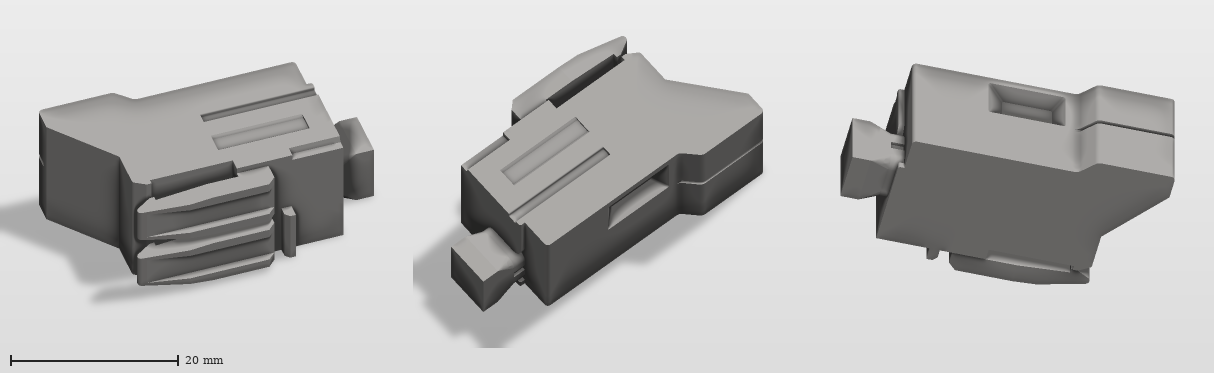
import cadquery as cq

HEIGHT = 15.0
LENGTH = 38.2
WIDTH = 20.5

LEFT_WALL_X = 2.02
RIGHT_WALL_X = 17.45
REAR_Y = 32.55
SHOULDER_X = 6.25
SHOULDER_Y = 31.82
FOOT_TOP_Y = 9.5
FOOT_WIDTH = 3.1
CHIN_X = 10.85
CHIN_Y = 6.5
CATCH_START_X = 15.62
CATCH_TIP_X = 16.55
CATCH_LOW_Y = 8.0
CATCH_TOP_Y = 8.6
RAIL_GAP_X = 15.95
RAIL_GAP_TOP_Y = 19.05

FOOT_RADIUS = 0.55
RAMP_RADIUS = 1.0
SHOULDER_RADIUS = 0.25
CATCH_RADIUS = 0.42

FOOT_SLOT_Z = 7.68
FOOT_SLOT_HEIGHT = 0.57

POCKET_Y = (13.05, 22.5)
POCKET_Z = (8.45, 14.0)
POCKET_FLOOR_Y = (14.2, 20.4)
POCKET_FLOOR_Z = (9.05, 13.37)
POCKET_DEPTH = 1.95
POCKET_CORNER_RADIUS = 0.25

RECESS_START_Y = 18.03
GROOVE_X = (6.95, 8.5)
GROOVE_RADIUS = 0.15
GROOVE_DEPTH = 0.55
WINDOW_X = (11.0, 13.68)
WINDOW_END_Y = 29.6
WINDOW_TAPER = 0.363
WINDOW_DEPTH = 0.325

LEDGE_X = 16.15
LEDGE_Y = 26.1
LEDGE_TAPER = 0.25
LEDGE_DEPTH = 0.75

HOOK_BOTTOMS_Z = (0.73, 8.17)
HOOK_HEIGHT = 6.05
HOOK_TOP_Y = 23.07
HOOK_CHAMFER = 0.95
HOOK_INNER_X = 18.03
HOOK_BEVEL_Y = 12.1
HOOK_TIP_X = 19.2
HOOK_TIP_Y = 5.08
HOOK_TIP_RADIUS = 0.5
HOOK_TAPER_Y = 15.05
HOOK_TAPER = 0.9
HOOK_RIM = 1.2

STOP_X = 19.1
STOP_Y = (24.7, 25.98)
STOP_CHAMFER = 0.55

PLUG_WIDTH = 6.1
PLUG_Z = 3.95
HEAD_HEIGHT = 7.53
HEAD_FRONT_Y = 35.95
HEAD_CORNER_RADIUS = 0.02
NECK_END_Y = 33.45
NECK_HEIGHT = 6.1
NECK_RADIUS = 1.35
NECK_SLOT_HEIGHT = 1.15
NECK_SLOT_DEPTH = 0.4
SHOULDER_RELIEF_RADIUS = 1.6


def box(x, y, z):
    """Box spanning the given (low, high) range along each axis."""
    solid = cq.Workplane("XY").box(x[1] - x[0], y[1] - y[0], z[1] - z[0], centered=False)
    return solid.translate((x[0], y[0], z[0]))


def vertical_edge(x, y):
    """Selector for the vertical edge passing through (x, y)."""
    margin = 0.05
    return cq.selectors.BoxSelector((x - margin, y - margin, -0.4), (x + margin, y + margin, HEIGHT + 0.4))


def make_body():
    foot_corner = (0, FOOT_TOP_Y)
    wall_corner = (LEFT_WALL_X, FOOT_TOP_Y + LEFT_WALL_X)
    rear_corner = (LEFT_WALL_X, SHOULDER_Y)
    shoulder = (SHOULDER_X, REAR_Y)
    catch_start = (CATCH_START_X, CHIN_Y)
    outline = [
        (0, 0), (FOOT_WIDTH, 0), (CHIN_X, CHIN_Y), catch_start,
        (CATCH_TIP_X, CATCH_LOW_Y), (CATCH_TIP_X, CATCH_TOP_Y), (RAIL_GAP_X, CATCH_TOP_Y),
        (RAIL_GAP_X, RAIL_GAP_TOP_Y), (RIGHT_WALL_X, RAIL_GAP_TOP_Y), (RIGHT_WALL_X, REAR_Y),
        shoulder, (SHOULDER_X, SHOULDER_Y), rear_corner, wall_corner, foot_corner,
    ]
    body = cq.Workplane("XY").polyline(outline).close().extrude(HEIGHT)
    rounds = [
        ((0, 0), FOOT_RADIUS), (rear_corner, FOOT_RADIUS),
        (wall_corner, RAMP_RADIUS), (foot_corner, RAMP_RADIUS),
        (shoulder, SHOULDER_RADIUS), (catch_start, CATCH_RADIUS),
    ]
    for corner, radius in rounds:
        body = body.edges(vertical_edge(*corner)).fillet(radius)
    return body


def make_foot_slot():
    slot_z = (FOOT_SLOT_Z, FOOT_SLOT_Z + FOOT_SLOT_HEIGHT)
    return box((0, LEFT_WALL_X), (0, SHOULDER_Y), slot_z)


def rounded_section(width, height, radius):
    return cq.Sketch().rect(width, height).vertices().fillet(radius)


def make_finger_pocket():
    def section(y, z):
        return rounded_section(y[1] - y[0], z[1] - z[0], POCKET_CORNER_RADIUS).moved(
            cq.Location(cq.Vector(sum(y) / 2, sum(z) / 2, 0)))

    floor = section(POCKET_FLOOR_Y, POCKET_FLOOR_Z).moved(cq.Location(cq.Vector(0, 0, POCKET_DEPTH)))
    plane = cq.Workplane("YZ", origin=(LEFT_WALL_X, 0, 0))
    return plane.placeSketch(section(POCKET_Y, POCKET_Z), floor).loft(ruled=True)


def make_groove():
    """Groove along Y, open to the rear, whose long walls curve in at the rim and out at the floor."""
    radius = GROOVE_RADIUS
    floor_z = HEIGHT - GROOVE_DEPTH
    left, right = GROOVE_X
    return (
        cq.Workplane("XZ", origin=(0, REAR_Y, 0))
        .moveTo(left, HEIGHT)
        .radiusArc((left + radius, HEIGHT - radius), radius)
        .lineTo(left + radius, floor_z + radius)
        .radiusArc((left + 2 * radius, floor_z), -radius)
        .lineTo(right - 2 * radius, floor_z)
        .radiusArc((right - radius, floor_z + radius), -radius)
        .lineTo(right - radius, HEIGHT - radius)
        .radiusArc((right, HEIGHT), radius)
        .close()
        .extrude(REAR_Y - RECESS_START_Y)
    )


def make_window():
    """Shallow recess along Y whose long walls lean in towards the floor."""
    floor_z = HEIGHT - WINDOW_DEPTH
    left, right = WINDOW_X
    profile = [
        (left, HEIGHT), (left + WINDOW_TAPER, floor_z),
        (right - WINDOW_TAPER, floor_z), (right, HEIGHT),
    ]
    plane = cq.Workplane("XZ", origin=(0, WINDOW_END_Y, 0))
    return plane.polyline(profile).close().extrude(WINDOW_END_Y - RECESS_START_Y)


def make_ledge():
    floor_z = HEIGHT - LEDGE_DEPTH
    profile = [
        (LEDGE_X, HEIGHT), (LEDGE_X + LEDGE_TAPER, floor_z),
        (RIGHT_WALL_X, floor_z), (RIGHT_WALL_X, HEIGHT),
    ]
    plane = cq.Workplane("XZ", origin=(0, REAR_Y, 0))
    return plane.polyline(profile).close().extrude(REAR_Y - LEDGE_Y)


def make_hook():
    """Spring hook with its lower face at Z = 0."""
    channel_x = WIDTH - HOOK_CHAMFER
    tip_corner = (HOOK_TIP_X, HOOK_TIP_Y)
    outline = [
        (RIGHT_WALL_X, HOOK_TOP_Y), (channel_x, HOOK_TOP_Y), (WIDTH, HOOK_TOP_Y - HOOK_CHAMFER),
        (WIDTH, HOOK_BEVEL_Y), tip_corner, (RIGHT_WALL_X, CATCH_LOW_Y),
        (RIGHT_WALL_X, CATCH_TOP_Y), (HOOK_INNER_X, CATCH_TOP_Y),
        (HOOK_INNER_X, RAIL_GAP_TOP_Y), (RIGHT_WALL_X, RAIL_GAP_TOP_Y),
    ]
    hook = cq.Workplane("XY").polyline(outline).close().extrude(HOOK_HEIGHT)
    hook = hook.edges(vertical_edge(*tip_corner)).fillet(HOOK_TIP_RADIUS)

    side_profile = [
        (HOOK_TOP_Y, 0), (HOOK_TOP_Y, HOOK_HEIGHT), (HOOK_TAPER_Y, HOOK_HEIGHT),
        (HOOK_TIP_Y, HOOK_HEIGHT - HOOK_TAPER), (HOOK_TIP_Y, HOOK_TAPER), (HOOK_TAPER_Y, 0),
    ]
    hook = hook.intersect(cq.Workplane("YZ").polyline(side_profile).close().extrude(WIDTH))
    channel = box((channel_x, WIDTH), (HOOK_TIP_Y, HOOK_TOP_Y), (HOOK_RIM, HOOK_HEIGHT - HOOK_RIM))
    return hook.cut(channel)


def make_stop():
    stop_top = HOOK_BOTTOMS_Z[0] + HOOK_HEIGHT
    stop = box((RIGHT_WALL_X, STOP_X), STOP_Y, (0, stop_top))
    return stop.edges(vertical_edge(STOP_X, STOP_Y[0])).chamfer(STOP_CHAMFER)


def make_plug():
    center_x = SHOULDER_X + PLUG_WIDTH / 2

    def plane(y):
        return cq.Workplane("XZ", origin=(center_x, y, PLUG_Z))

    neck_section = rounded_section(PLUG_WIDTH, NECK_HEIGHT, NECK_RADIUS)
    head_section = rounded_section(PLUG_WIDTH, HEAD_HEIGHT, HEAD_CORNER_RADIUS)
    taper_end = neck_section.moved(cq.Location(cq.Vector(0, 0, HEAD_FRONT_Y - NECK_END_Y)))

    head = plane(LENGTH).rect(PLUG_WIDTH, HEAD_HEIGHT).extrude(LENGTH - HEAD_FRONT_Y)
    taper = plane(HEAD_FRONT_Y).placeSketch(head_section, taper_end).loft(ruled=True)
    neck = plane(NECK_END_Y).placeSketch(neck_section).extrude(NECK_END_Y - SHOULDER_Y)
    slot = box(
        (SHOULDER_X, SHOULDER_X + NECK_SLOT_DEPTH),
        (SHOULDER_Y, NECK_END_Y),
        (PLUG_Z - NECK_SLOT_HEIGHT / 2, PLUG_Z + NECK_SLOT_HEIGHT / 2),
    )
    return head.union(taper).union(neck).cut(slot)


def make_shoulder_relief():
    """Opening for the neck in the raised rear face, with a rounded upper edge."""
    radius = SHOULDER_RELIEF_RADIUS
    neck_top = PLUG_Z + NECK_HEIGHT / 2
    neck_bottom = PLUG_Z - NECK_HEIGHT / 2
    return (
        cq.Workplane("XZ", origin=(0, REAR_Y, 0))
        .moveTo(SHOULDER_X, neck_bottom)
        .lineTo(SHOULDER_X, neck_top + radius)
        .radiusArc((SHOULDER_X + radius, neck_top), -radius)
        .lineTo(SHOULDER_X + radius, neck_bottom)
        .close()
        .extrude(REAR_Y - SHOULDER_Y)
    )


result = make_body()
result = result.cut(make_foot_slot())
result = result.cut(make_finger_pocket())
result = result.cut(make_groove())
result = result.cut(make_window())
result = result.cut(make_ledge())
result = result.cut(make_shoulder_relief())
result = result.union(make_plug())
result = result.union(make_stop())
for bottom_z in HOOK_BOTTOMS_Z:
    result = result.union(make_hook().translate((0, 0, bottom_z)))